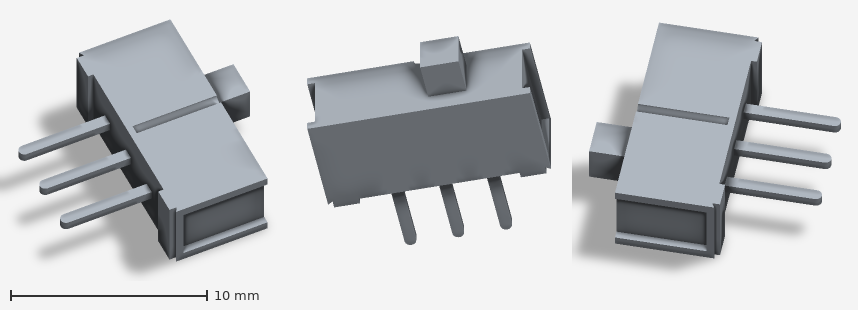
import cadquery as cq


TOTAL_LENGTH = 12.1
WIDTH = 11.6
HEIGHT = 4.0

KNOB_SIZE = 2.0
KNOB_OFFSET = -1.5

HOUSING_DEPTH = 4.75
LIP_TIP = 0.41
LIP_ROOT = 0.24
SIDE_RECESS_DEPTH = 0.4
SIDE_RECESS_HEIGHT = 3.05
GROOVE_RADIUS = 0.25

BASE_WIDTH = 11.07
PLATE_THICKNESS = 0.35
FOOT_REACH = 0.65
FOOT_WIDTH = 1.34
PIN_PITCH = 2.49
PIN_WIDTH = 0.6
PIN_HEIGHT = 0.51
PIN_COUNT = 3
PIN_LENGTH = TOTAL_LENGTH - KNOB_SIZE - HOUSING_DEPTH - PLATE_THICKNESS


def block(x_range, y_range, height):
    """Box between two X and two Y limits, centred on Z = 0."""
    (x_min, x_max), (y_min, y_max) = x_range, y_range
    center = ((x_min + x_max) / 2, (y_min + y_max) / 2, 0)
    return cq.Workplane("XY").box(x_max - x_min, y_max - y_min, height).translate(center)


def end_lip(side):
    """Bevelled lip that wraps one end of the base."""
    inner = side * BASE_WIDTH / 2
    outer = side * WIDTH / 2
    profile = [(inner, 0), (outer, 0), (outer, -LIP_TIP), (inner, -LIP_ROOT)]
    return cq.Workplane("XY").polyline(profile).close().extrude(HEIGHT / 2, both=True)


def side_recess(side):
    """Shallow pocket in an end face, open at the back."""
    edges = sorted((side * WIDTH / 2, side * (WIDTH / 2 - SIDE_RECESS_DEPTH)))
    return block(edges, (0, HOUSING_DEPTH), SIDE_RECESS_HEIGHT)


def make_housing():
    housing = block((-WIDTH / 2, WIDTH / 2), (0, HOUSING_DEPTH), HEIGHT)
    for side in (-1, 1):
        housing = housing.union(end_lip(side)).cut(side_recess(side))
    groove = (
        cq.Workplane("XZ")
        .center(0, HEIGHT / 2)
        .circle(GROOVE_RADIUS)
        .extrude(-HOUSING_DEPTH)
    )
    return housing.cut(groove)


def make_pin(x):
    """Flat terminal with a full-round tip, starting at the front of the plate."""
    radius = PIN_WIDTH / 2
    start = -PLATE_THICKNESS
    tip = start - PIN_LENGTH
    shoulder = tip + radius
    return (
        cq.Workplane("XY")
        .moveTo(x - radius, start)
        .lineTo(x - radius, shoulder)
        .threePointArc((x, tip), (x + radius, shoulder))
        .lineTo(x + radius, start)
        .close()
        .extrude(PIN_HEIGHT / 2, both=True)
    )


def make_base():
    """Terminal plate with a foot at each end and a row of pins."""
    half_width = BASE_WIDTH / 2
    base = block((-half_width, half_width), (-PLATE_THICKNESS, 0), HEIGHT)
    for side in (-1, 1):
        edges = sorted((side * half_width, side * (half_width - FOOT_WIDTH)))
        base = base.union(block(edges, (-FOOT_REACH, 0), HEIGHT))
    for index in range(PIN_COUNT):
        base = base.union(make_pin((index - (PIN_COUNT - 1) / 2) * PIN_PITCH))
    return base


def make_knob():
    """Square knob standing on the back face of the housing."""
    x_range = (KNOB_OFFSET - KNOB_SIZE / 2, KNOB_OFFSET + KNOB_SIZE / 2)
    return block(x_range, (HOUSING_DEPTH, HOUSING_DEPTH + KNOB_SIZE), KNOB_SIZE)


housing = make_housing().solids()
base = make_base().solids()
knob = make_knob()

result = cq.Compound.makeCompound([housing.val(), base.val(), knob.val()])